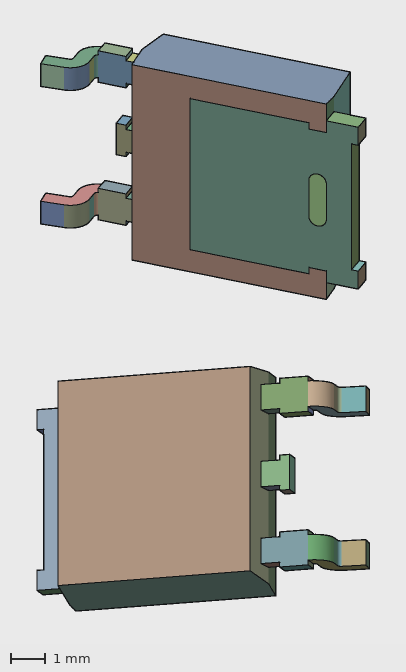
import cadquery as cq
import math


lead_thickness = 0.51
lead_width = 0.76
lead_pitch = 2.29
lead_top = 1.61
lead_bottom = lead_top - lead_thickness
shoulder_width = 1.05
shoulder_end_x = 2.27
short_lead_tip_x = 1.96
bend_outer_radius = 0.6
bend_inner_radius = bend_outer_radius - lead_thickness
riser_outer_x = 0.8
riser_inner_x = riser_outer_x + lead_thickness
foot_slope = math.radians(5)

housing_depth = 2.35
housing_height = 6.5
parting_y = lead_bottom
parting_x = 2.76
housing_end_x = 8.98
wall_draft = math.tan(math.radians(7))
side_draft = math.tan(math.radians(5))

tab_thickness = 0.59
pad_start_x = 4.72
pad_height = 5.02
tab_end_x = 9.98
tab_height = 5.38
neck_start_x = 8.43
neck_height = 4.6
end_recess_x = 9.77
end_recess_height = 4.18
slot_length = 1.73
slot_width = housing_end_x - neck_start_x


def lead_wall_x(y):
    """X of the drafted housing wall on the lead side at depth y."""
    return parting_x + abs(y - parting_y) * wall_draft


def box(x_range, y_range, height):
    """Block between two X and two Y positions, centred on z = 0."""
    x_start, x_end = x_range
    y_start, y_end = y_range
    return (
        cq.Workplane("XY")
        .box(x_end - x_start, y_end - y_start, height, centered=(False, False, True))
        .translate((x_start, y_start, 0))
    )


def make_tab():
    """Heat-sink tab: pad, neck between the housing corners, outer end and slot."""
    depth = (0, tab_thickness)
    pad = box((pad_start_x, neck_start_x), depth, pad_height)
    neck = box((neck_start_x, housing_end_x), depth, neck_height)
    end = box((housing_end_x, tab_end_x), depth, tab_height)
    end_recess = box((end_recess_x, tab_end_x), depth, end_recess_height)
    slot = (
        cq.Workplane("XZ", origin=((neck_start_x + housing_end_x) / 2, 0, 0))
        .slot2D(slot_length, slot_width, 90)
        .extrude(-tab_thickness)
    )
    return pad.union(neck).union(end).cut(end_recess).cut(slot)


def make_housing(tab):
    """Moulded housing with drafted walls; it surrounds the tab and fills its slot."""
    drafted_profile = (
        cq.Workplane("XY")
        .polyline([
            (lead_wall_x(0), 0),
            (parting_x, parting_y),
            (lead_wall_x(housing_depth), housing_depth),
            (housing_end_x - (housing_depth - tab_thickness) * wall_draft, housing_depth),
            (housing_end_x, tab_thickness),
            (housing_end_x, 0),
        ])
        .close()
        .extrude(housing_height / 2, both=True)
    )
    half_front = housing_height / 2
    half_back = half_front - housing_depth * side_draft
    drafted_sides = (
        cq.Workplane("YZ")
        .polyline([
            (0, -half_front),
            (housing_depth, -half_back),
            (housing_depth, half_back),
            (0, half_front),
        ])
        .close()
        .extrude(housing_end_x)
    )
    return drafted_profile.intersect(drafted_sides).cut(tab)


def make_outer_lead():
    """Bent lead: straight part with a wide shoulder, riser, and sloping foot."""
    upper_center_x = riser_outer_x + bend_outer_radius
    upper_center_y = lead_top - bend_outer_radius

    lower_center_x = riser_outer_x - bend_inner_radius
    foot_length = (lower_center_x + bend_inner_radius * math.sin(foot_slope)) / math.cos(foot_slope)
    lower_center_y = bend_outer_radius * math.cos(foot_slope) + foot_length * math.sin(foot_slope)

    def on_upper_bend(radius, angle):
        return (upper_center_x + radius * math.cos(angle), upper_center_y + radius * math.sin(angle))

    def on_lower_bend(radius, angle):
        return (lower_center_x + radius * math.cos(angle), lower_center_y + radius * math.sin(angle))

    def foot_tip(radius):
        x, y = on_lower_bend(radius, lower_bend_end)
        return (x - foot_length * math.cos(foot_slope), y - foot_length * math.sin(foot_slope))

    upper_bend_middle = math.radians(135)
    lower_bend_end = foot_slope - math.pi / 2
    lower_bend_middle = lower_bend_end / 2

    strip = (
        cq.Workplane("XY")
        .moveTo(lead_wall_x(lead_top), lead_top)
        .lineTo(upper_center_x, lead_top)
        .threePointArc(
            on_upper_bend(bend_outer_radius, upper_bend_middle),
            (riser_outer_x, upper_center_y),
        )
        .lineTo(riser_outer_x, lower_center_y)
        .threePointArc(
            on_lower_bend(bend_inner_radius, lower_bend_middle),
            on_lower_bend(bend_inner_radius, lower_bend_end),
        )
        .lineTo(*foot_tip(bend_inner_radius))
        .lineTo(*foot_tip(bend_outer_radius))
        .lineTo(*on_lower_bend(bend_outer_radius, lower_bend_end))
        .threePointArc(
            on_lower_bend(bend_outer_radius, lower_bend_middle),
            (riser_inner_x, lower_center_y),
        )
        .lineTo(riser_inner_x, upper_center_y)
        .threePointArc(
            on_upper_bend(bend_inner_radius, upper_bend_middle),
            (upper_center_x, lead_bottom),
        )
        .lineTo(lead_wall_x(lead_bottom), lead_bottom)
        .close()
        .extrude(lead_width / 2, both=True)
    )
    shoulder = box((upper_center_x, shoulder_end_x), (lead_bottom, lead_top), shoulder_width)
    return strip.union(shoulder)


def make_short_lead():
    """Cut-off middle lead: a neck at the housing wall and a wide end."""
    neck = (
        cq.Workplane("XY")
        .polyline([
            (shoulder_end_x, lead_bottom),
            (lead_wall_x(lead_bottom), lead_bottom),
            (lead_wall_x(lead_top), lead_top),
            (shoulder_end_x, lead_top),
        ])
        .close()
        .extrude(lead_width / 2, both=True)
    )
    shoulder = box((short_lead_tip_x, shoulder_end_x), (lead_bottom, lead_top), shoulder_width)
    return neck.union(shoulder)


tab = make_tab()
housing = make_housing(tab)
short_lead = make_short_lead()
outer_leads = [make_outer_lead().translate((0, 0, side * lead_pitch)) for side in (-1, 1)]

result = cq.Compound.makeCompound([
    housing.solids().val(),
    tab.solids().val(),
    short_lead.solids().val(),
    *[lead.solids().val() for lead in outer_leads],
])